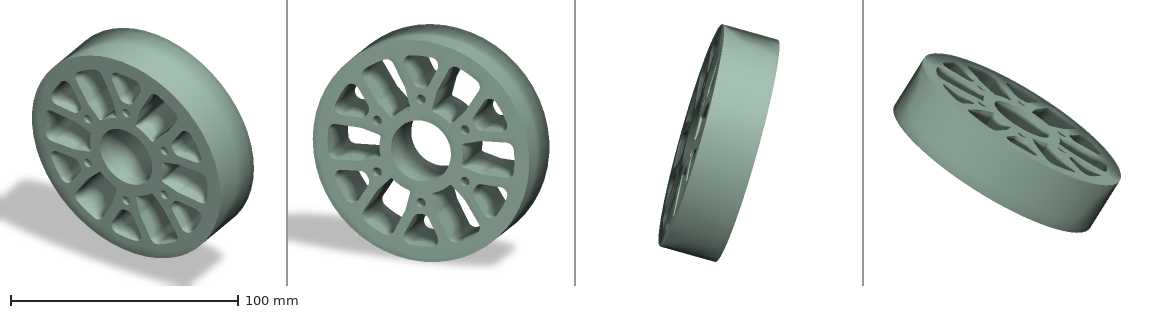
import cadquery as cq
import math

wheel_diameter = 101.6
wheel_width = 25.4
bore_diameter = 28.0

spoke_count = 6
spoke_pitch = 360.0 / spoke_count
bolt_hole_diameter = 4.3
bolt_circle_radius = 23.8

arm_thickness = 4.6
arm_tilt = 2.5

rim_inner_radius = 43.8
hub_radius = 19.5
bend_distance = 27.9
flare_angle = 15.0
hub_fillet = 1.0

small_floor_distance = 29.0

corner_fillet = 3.5

corner_search_reach = 0.5


def point_on_circle(radius, start, angle):
    """Point where a line from the start, rising at the angle, meets a circle about the wheel axis."""
    slope = math.tan(math.radians(angle))
    offset = start[1] - start[0] * slope
    root = math.sqrt(radius**2 * (1 + slope**2) - offset**2)
    x = (root - slope * offset) / (1 + slope**2)
    return x, offset + slope * x


def mirrored(point):
    return point[0], -point[1]


def back_face():
    """Sketch plane on the +Y face; extrusions run toward -Y."""
    return cq.Workplane("XZ", origin=(0, wheel_width / 2, 0))


def extrude_through(outline):
    return outline.extrude(wheel_width)


def fillet_corners(window, x, radius):
    """Round the pair of through-edges that lie at the given X."""
    corners = cq.selectors.BoxSelector(
        (x - corner_search_reach, -wheel_width, -wheel_diameter),
        (x + corner_search_reach, wheel_width, wheel_diameter),
    )
    return window.edges("|Y").edges(corners).fillet(radius)


def large_window():
    """Window centred on +X, from hub to rim, flaring at the hub and then following the arms."""
    half_pitch = math.radians(spoke_pitch / 2)
    tilt = math.radians(arm_tilt)
    bolt_x = bolt_circle_radius * math.cos(half_pitch)
    bolt_z = bolt_circle_radius * math.sin(half_pitch)
    bend_half_width = (
        bolt_z - arm_thickness / math.cos(tilt) + (bend_distance - bolt_x) * math.tan(tilt)
    )

    bend = (bend_distance, bend_half_width)
    hub_corner = point_on_circle(hub_radius, bend, flare_angle)
    rim_corner = point_on_circle(rim_inner_radius, bend, arm_tilt)
    outline = (
        back_face()
        .moveTo(*hub_corner)
        .lineTo(*bend)
        .lineTo(*rim_corner)
        .threePointArc((rim_inner_radius, 0), mirrored(rim_corner))
        .lineTo(*mirrored(bend))
        .lineTo(*mirrored(hub_corner))
        .threePointArc((hub_radius, 0), hub_corner)
        .close()
    )
    window = extrude_through(outline)
    window = fillet_corners(window, rim_corner[0], corner_fillet)
    window = fillet_corners(window, bend_distance, corner_fillet)
    return fillet_corners(window, hub_corner[0], hub_fillet)


def small_window():
    """Wedge window centred on +X, with sides that aim at the bolt hole centre."""
    side_angle = spoke_pitch / 2 - arm_tilt
    floor_half_width = (small_floor_distance - bolt_circle_radius) * math.tan(math.radians(side_angle))
    floor_corner = (small_floor_distance, floor_half_width)
    rim_corner = point_on_circle(rim_inner_radius, floor_corner, side_angle)
    outline = (
        back_face()
        .moveTo(*floor_corner)
        .lineTo(*rim_corner)
        .threePointArc((rim_inner_radius, 0), mirrored(rim_corner))
        .lineTo(*mirrored(floor_corner))
        .close()
    )
    window = extrude_through(outline)
    window = fillet_corners(window, rim_corner[0], corner_fillet)
    return fillet_corners(window, floor_corner[0], corner_fillet)


def bolt_hole():
    outline = back_face().center(bolt_circle_radius, 0).circle(bolt_hole_diameter / 2)
    return extrude_through(outline)


def turned(cutter, angle):
    return cutter.rotate((0, 0, 0), (0, 1, 0), angle)


body = extrude_through(back_face().circle(wheel_diameter / 2).circle(bore_diameter / 2))

large_cutter = large_window()
small_cutter = small_window()
bolt_cutter = bolt_hole()
for index in range(spoke_count):
    window_angle = index * spoke_pitch
    spoke_angle = window_angle + spoke_pitch / 2
    body = body.cut(turned(large_cutter, window_angle))
    body = body.cut(turned(small_cutter, spoke_angle))
    body = body.cut(turned(bolt_cutter, spoke_angle))

result = body